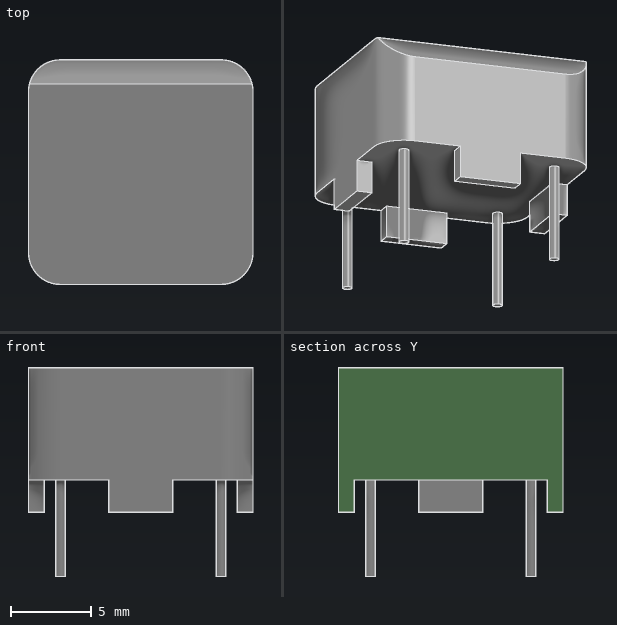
import cadquery as cq

side = 14.0
housing_height = 7.0
corner_radius = 2.0
top_chamfer = 1.5

foot_width = 4.0
foot_thickness = 1.0
foot_height = 2.0

pin_diameter = 0.6
pin_length = 6.0
pin_spacing = side - 2 * corner_radius


def make_housing():
    """Rounded block with its top edge on the +Y side sloped as an index mark."""
    block = cq.Workplane("XY").box(side, side, housing_height, centered=(True, True, False))
    block = block.edges("|Z").fillet(corner_radius)
    slope = (
        cq.Workplane("YZ")
        .moveTo(side / 2, housing_height)
        .lineTo(side / 2 - top_chamfer, housing_height)
        .lineTo(side / 2, housing_height - top_chamfer)
        .close()
        .extrude(side / 2, both=True)
    )
    return block.cut(slope)


def make_foot(angle):
    """Foot flush with the +X wall, turned about Z to the wanted wall."""
    foot = (
        cq.Workplane("XY")
        .center((side - foot_thickness) / 2, 0)
        .rect(foot_thickness, foot_width)
        .extrude(-foot_height)
    )
    return foot.rotate((0, 0, 0), (0, 0, 1), angle)


def make_pins():
    """Four pins hanging from the underside, on the corner centres."""
    return (
        cq.Workplane("XY")
        .rect(pin_spacing, pin_spacing, forConstruction=True)
        .vertices()
        .circle(pin_diameter / 2)
        .extrude(-pin_length)
    )


result = make_housing()
for angle in (0, 90, 180, 270):
    result = result.union(make_foot(angle))
result = result.union(make_pins())